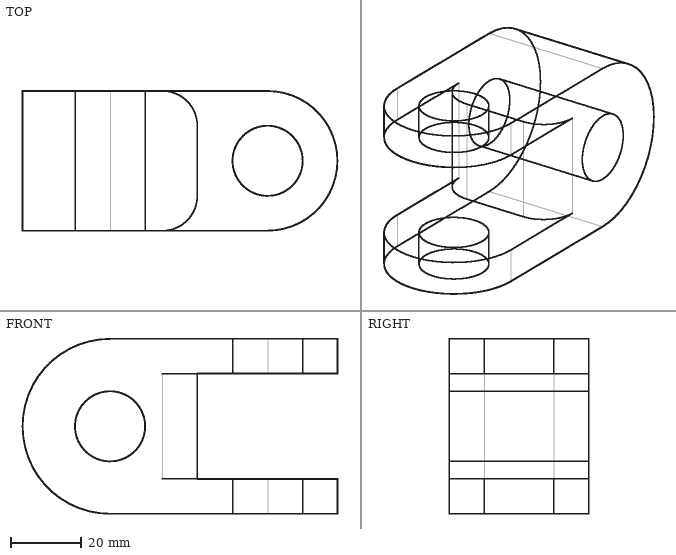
import cadquery as cq

length = 90.0
width = 40.0
height = 50.0
hole_diameter = 20.0
arm_thickness = 10.0
web_side_x = 40.0
web_corner_radius = 10.0

barrel_radius = height / 2
arm_end_radius = width / 2
pin_x = length - arm_end_radius
slot_height = height - 2 * arm_thickness
web_end_x = web_side_x + web_corner_radius


def full_width_block(start_x, end_x, block_height):
    """Block spanning the full width between two X positions."""
    block = cq.Workplane("XY").box(end_x - start_x, width, block_height)
    return block.translate(((start_x + end_x) / 2, 0, 0))


def cylinder_along_y(center_x, radius):
    """Full-width cylinder about a horizontal cross axis."""
    return cq.Workplane("XZ").center(center_x, 0).circle(radius).extrude(width / 2, both=True)


def cylinder_along_z(center_x, radius):
    """Full-height cylinder about a vertical axis."""
    return cq.Workplane("XY").center(center_x, 0).circle(radius).extrude(height / 2, both=True)


def outer_body():
    """Half-round barrel, straight middle and half-round arm end."""
    middle = full_width_block(barrel_radius, pin_x, height)
    barrel = cylinder_along_y(barrel_radius, barrel_radius)
    arm_end = cylinder_along_z(pin_x, arm_end_radius)
    return middle.union(barrel).union(arm_end)


def arm_slot():
    """Gap between the arms, shaped around the web's rounded vertical edges."""
    web = full_width_block(0, web_end_x, slot_height).edges("|Z and >X").fillet(web_corner_radius)
    return full_width_block(web_side_x, length, slot_height).cut(web)


cross_hole = cylinder_along_y(barrel_radius, hole_diameter / 2)
pin_hole = cylinder_along_z(pin_x, hole_diameter / 2)

result = outer_body().cut(arm_slot()).cut(cross_hole).cut(pin_hole)